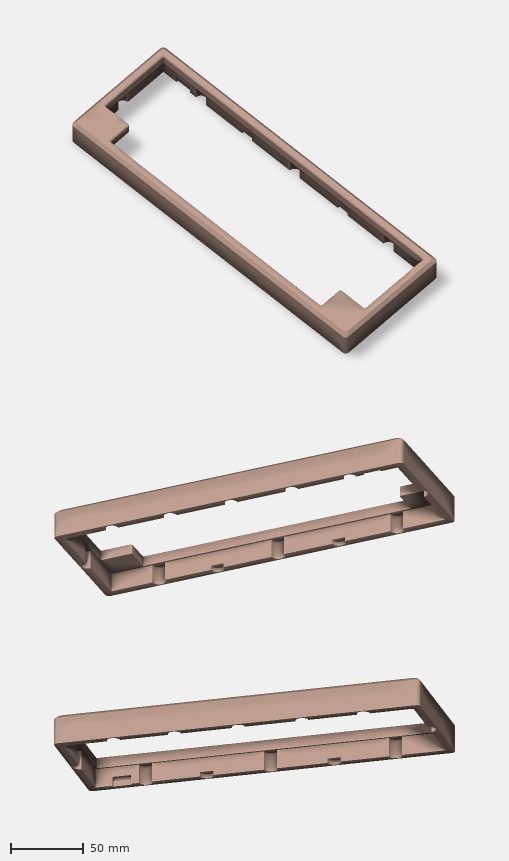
import cadquery as cq
length = 263.6
width = 92.3
height = 21.5
rim_chamfer = 2.5
corner_radius = 3.0

wall = 7.5
plate_thickness = 8.0
pad_length = 30.8
pad_width = 26.5
window_corner_radius = 0.751
window_chamfer = 0.8

cavity_step = 1.5

groove_radius = 4.7
long_groove_spacing = 90.0
short_groove_x = 46.0
short_groove_height = 3.2

recess_right_x = -100.5
recess_length = 13.2
recess_height = 4.2
recess_depth = 1.5
recess_corner_radius = 0.751
slot_height = 2.5
slot_depth = 3.2

cavity_height = height - plate_thickness
inner_x = length / 2 - wall
inner_y = width / 2 - wall
cavity_x = inner_x + cavity_step
cavity_y = inner_y + cavity_step


def prism(points, bottom, top, radius):
    """Upright prism with rounded corners."""
    outline = cq.Workplane("XY", origin=(0, 0, bottom)).polyline(points).close()
    return outline.extrude(top - bottom).edges("|Z").fillet(radius)


def bevel(low_points, high_points, bottom, top, radius):
    """Sloped band between two outlines whose corners keep the same radius."""
    low_wire = prism(low_points, bottom, top, radius).faces("<Z").wires().val()
    high_wire = prism(high_points, bottom, top, radius).faces(">Z").wires().val()
    return cq.Workplane(cq.Solid.makeLoft([low_wire, high_wire], True))


def body_outline(inset):
    x = length / 2 - inset
    y = width / 2 - inset
    return [(-x, -y), (x, -y), (x, y), (-x, y)]


def window_outline(growth):
    """Rectangle with both front corners left solid as pads."""
    x = inner_x + growth
    y = inner_y + growth
    pad_x = length / 2 - pad_length + growth
    pad_y = -width / 2 + pad_width - growth
    return [
        (-x, y),
        (x, y),
        (x, pad_y),
        (pad_x, pad_y),
        (pad_x, -y),
        (-pad_x, -y),
        (-pad_x, pad_y),
        (-x, pad_y),
    ]


def make_body():
    shoulder = height - rim_chamfer
    sides = prism(body_outline(0), 0, shoulder, corner_radius)
    rim = bevel(body_outline(0), body_outline(rim_chamfer), shoulder, height, corner_radius)
    return sides.union(rim)


def make_window():
    shoulder = height - window_chamfer
    opening = prism(window_outline(0), 0, shoulder, window_corner_radius)
    rim = bevel(window_outline(0), window_outline(window_chamfer), shoulder, height, window_corner_radius)
    return opening.union(rim)


def make_groove(x, y, groove_height):
    return cq.Workplane("XY").center(x, y).circle(groove_radius).extrude(groove_height)


def make_rear_recess():
    """Shallow recess rising from the bottom face, with a deeper slot above it."""
    center_x = recess_right_x - recess_length / 2
    recess = (
        cq.Workplane("XY")
        .center(center_x, cavity_y)
        .rect(recess_length, 2 * recess_depth)
        .extrude(recess_height)
        .edges("|Z")
        .fillet(recess_corner_radius)
    )
    slot = (
        cq.Workplane("XY", origin=(0, 0, recess_height))
        .center(center_x, cavity_y)
        .rect(recess_length, 2 * slot_depth)
        .extrude(slot_height)
    )
    return recess.union(slot)


cavity = cq.Workplane("XY").box(2 * cavity_x, 2 * cavity_y, cavity_height, centered=(True, True, False))

result = make_body().cut(make_window()).cut(cavity).cut(make_rear_recess())

for side in (-1, 1):
    for x in (-long_groove_spacing, 0, long_groove_spacing):
        result = result.cut(make_groove(x, side * cavity_y, cavity_height))
    for x in (-short_groove_x, short_groove_x):
        result = result.cut(make_groove(x, side * cavity_y, short_groove_height))
    result = result.cut(make_groove(side * cavity_x, 0, cavity_height))